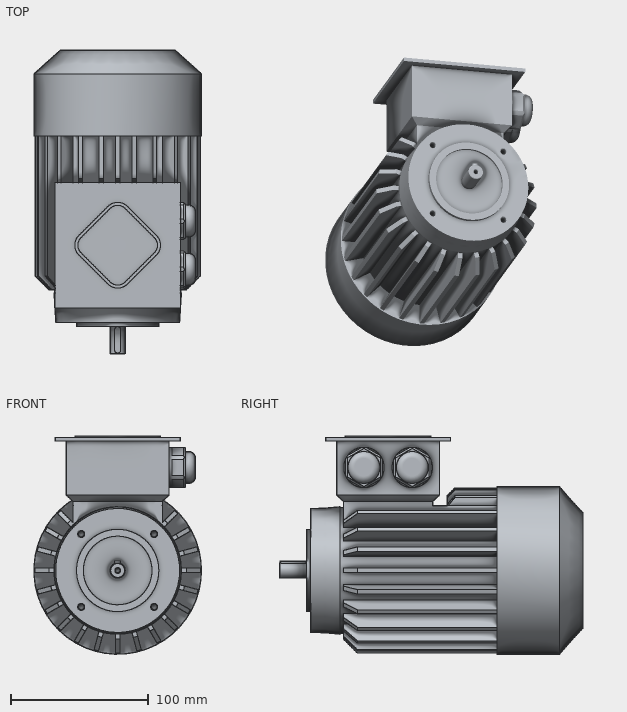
import cadquery as cq
import math


cowl_radius = 61.0
cowl_back_radius = 41.8
cowl_front_y = 158.5
cowl_bevel_y = 203.8
cowl_back_y = 221.0

body_radius = 46.0
body_front_y = 46.6
fin_radius = 60.1
fin_root_radius = 39.8
fin_thickness = 3.3
fin_pitch_angle = 15
fin_first_angle = -225
fin_last_angle = 45
fin_bevel = 10.2

deck_fins = [(-27.0, 2.9), (-12.0, 3.3), (0, 3.3), (12.0, 3.3), (27.0, 2.9)]
deck_fin_front_y = 122.0
deck_fin_bevel = 5.7

flange_back_y = 44.2
flange_back_radius = 46.5
flange_front_y = 22.8
flange_front_radius = 45.0
spigot_radius = 60.0 / 2
spigot_front_y = 20.0
recess_radius = 50.0 / 2
recess_depth = 2.0
shaft_radius = 11.0 / 2
shaft_bevel = 0.5
key_width = 4.5
key_top_z = 6.9
key_tip_gap = 0.7

bolt_spacing = 53.0
bolt_core_diameter = 4.2
bolt_thread_diameter = 5.0
centre_core_diameter = 3.3
centre_thread_diameter = 4.2
hole_depth = 10.0
drill_point_angle = 118

deck_top_z = 47.0
neck_size = 65.0
box_centre_y = body_front_y + neck_size / 2
neck_top_z = 50.2
box_size = 75.0
box_taper_top_z = 54.8
lid_size = 91.0
lid_bottom_z = 94.1
lid_top_z = 96.8

frame_size = 50.0
frame_corner_radius = 10.0
frame_width = 2.2
frame_height = 1.0

gland_spacing = 35.1
gland_z = 75.0
gland_collar_diameter = 29.5
gland_hex_flats = 27.0
gland_hex_end_flats = 24.0
gland_hex_start_x = 39.5
gland_hex_taper_x = 47.7
gland_hex_end_x = 49.5
gland_cap_diameter = 23.2
gland_cap_end_x = 56.5
gland_cap_rounding = 4.9


def turned(profile):
    """Solid of revolution about the Y axis from (radius, y) points."""
    return cq.Workplane("XY").polyline(profile).close().revolve(360, (0, 0), (0, 1))


def cylinder(radius, y_start, y_end):
    return turned([(0, y_start), (radius, y_start), (radius, y_end), (0, y_end)])


def block(x_size, y_start, y_end, z_start, z_end):
    """Box centred on x = 0."""
    return cq.Workplane("XY").box(
        x_size, y_end - y_start, z_end - z_start, centered=(True, False, False)
    ).translate((0, y_start, z_start))


def square_block(size, z_start, z_end):
    """Square block centred over the terminal box centre."""
    half = size / 2
    return block(size, box_centre_y - half, box_centre_y + half, z_start, z_end)


def fin_envelope(front_y, bevel):
    """Round bar that gives fins their outer radius and bevelled front end."""
    return turned([
        (0, front_y),
        (fin_radius - bevel, front_y),
        (fin_radius, front_y + bevel),
        (fin_radius, cowl_front_y),
        (0, cowl_front_y),
    ])


def make_cowl():
    return turned([
        (0, cowl_front_y),
        (cowl_radius, cowl_front_y),
        (cowl_radius, cowl_bevel_y),
        (cowl_back_radius, cowl_back_y),
        (0, cowl_back_y),
    ])


def make_radial_fins():
    plate = block(fin_thickness, body_front_y, cowl_front_y, fin_root_radius, cowl_radius)
    plates = cq.Workplane("XY")
    for angle in range(fin_first_angle, fin_last_angle + 1, fin_pitch_angle):
        plates = plates.add(plate.rotate((0, 0, 0), (0, 1, 0), 90 - angle))
    return plates.combine().intersect(fin_envelope(body_front_y, fin_bevel))


def make_deck_fins():
    plates = cq.Workplane("XY")
    for x, thickness in deck_fins:
        plate = block(thickness, deck_fin_front_y, cowl_front_y, fin_root_radius, cowl_radius)
        plates = plates.add(plate.translate((x, 0, 0)))
    return plates.combine().intersect(fin_envelope(deck_fin_front_y, deck_fin_bevel))


def make_flange():
    flange = turned([
        (0, flange_front_y),
        (flange_front_radius, flange_front_y),
        (flange_back_radius, flange_back_y),
        (body_radius, flange_back_y),
        (body_radius, body_front_y),
        (0, body_front_y),
    ])
    spigot = cylinder(spigot_radius, spigot_front_y, flange_front_y)
    recess = cylinder(recess_radius, spigot_front_y, spigot_front_y + recess_depth)
    return flange.union(spigot).cut(recess)


def make_shaft():
    shaft = turned([
        (0, 0),
        (shaft_radius - shaft_bevel, 0),
        (shaft_radius, shaft_bevel),
        (shaft_radius, body_front_y),
        (0, body_front_y),
    ])
    key_length = spigot_front_y - key_tip_gap
    key = (
        cq.Workplane("XY")
        .center(0, key_tip_gap + key_length / 2)
        .slot2D(key_length, key_width, 90)
        .extrude(key_top_z)
    )
    return shaft.union(key)


def tapped_hole(x, z, face_y, core_diameter, thread_diameter):
    """Cutting tool for a blind hole that enters at face_y and runs toward +Y."""
    core_radius = core_diameter / 2
    thread_radius = thread_diameter / 2
    point_length = core_radius / math.tan(math.radians(drill_point_angle / 2))
    tool = turned([
        (0, 0),
        (thread_radius, 0),
        (core_radius, thread_radius - core_radius),
        (core_radius, hole_depth),
        (0, hole_depth + point_length),
    ])
    return tool.translate((x, face_y, z))


def make_terminal_box():
    deck = block(neck_size, body_front_y, cowl_front_y, 0, deck_top_z)
    neck = square_block(neck_size, 0, neck_top_z)
    taper = (
        cq.Workplane("XY", origin=(0, box_centre_y, neck_top_z))
        .rect(neck_size, neck_size)
        .workplane(offset=box_taper_top_z - neck_top_z)
        .rect(box_size, box_size)
        .loft(ruled=True)
    )
    box = square_block(box_size, box_taper_top_z, lid_bottom_z)
    lid = square_block(lid_size, lid_bottom_z, lid_top_z)
    return deck.union(neck).union(taper).union(box).union(lid)


def rounded_square(size, corner_radius):
    return (
        cq.Workplane("XY")
        .rect(size, size)
        .extrude(frame_height)
        .edges("|Z")
        .fillet(corner_radius)
    )


def make_lid_frame():
    outer = rounded_square(frame_size, frame_corner_radius)
    inner = rounded_square(frame_size - 2 * frame_width, frame_corner_radius - frame_width)
    frame = outer.cut(inner).rotate((0, 0, 0), (0, 0, 1), 45)
    return frame.translate((0, box_centre_y, lid_top_z))


def hexagon_diameter(across_flats):
    """Diameter over the corners of a hexagon."""
    return across_flats / math.cos(math.radians(30))


def make_gland(y):
    wall_x = box_size / 2
    at_wall = cq.Workplane("YZ", origin=(wall_x, y, gland_z))
    at_hex = cq.Workplane("YZ", origin=(gland_hex_start_x, y, gland_z)).transformed((0, 0, 90))
    at_taper = cq.Workplane("YZ", origin=(gland_hex_taper_x, y, gland_z)).transformed((0, 0, 90))
    at_cap = cq.Workplane("YZ", origin=(gland_hex_end_x, y, gland_z))

    collar = at_wall.circle(gland_collar_diameter / 2).extrude(gland_hex_start_x - wall_x)
    hexagon = at_hex.polygon(6, hexagon_diameter(gland_hex_flats)).extrude(
        gland_hex_taper_x - gland_hex_start_x
    )
    hexagon_end = (
        at_taper.polygon(6, hexagon_diameter(gland_hex_flats))
        .workplane(offset=gland_hex_end_x - gland_hex_taper_x)
        .polygon(6, hexagon_diameter(gland_hex_end_flats))
        .loft(ruled=True)
    )
    corner_limit = at_wall.circle(gland_collar_diameter / 2).extrude(gland_hex_end_x - wall_x)
    nut = hexagon.union(hexagon_end).intersect(corner_limit)
    cap = (
        at_cap.circle(gland_cap_diameter / 2)
        .extrude(gland_cap_end_x - gland_hex_end_x)
        .faces(">X")
        .edges()
        .fillet(gland_cap_rounding)
    )
    return collar.union(nut).union(cap)


motor = cylinder(body_radius, body_front_y, cowl_front_y)
motor = motor.union(make_cowl())
motor = motor.union(make_radial_fins())
motor = motor.union(make_terminal_box())
motor = motor.union(make_deck_fins())
motor = motor.union(make_flange())
motor = motor.union(make_shaft())
motor = motor.union(make_lid_frame())

for side in (-1, 1):
    motor = motor.union(make_gland(box_centre_y + side * gland_spacing / 2))

for x_side in (-1, 1):
    for z_side in (-1, 1):
        bolt_hole = tapped_hole(
            x_side * bolt_spacing / 2,
            z_side * bolt_spacing / 2,
            flange_front_y,
            bolt_core_diameter,
            bolt_thread_diameter,
        )
        motor = motor.cut(bolt_hole)

result = motor.cut(tapped_hole(0, 0, 0, centre_core_diameter, centre_thread_diameter))